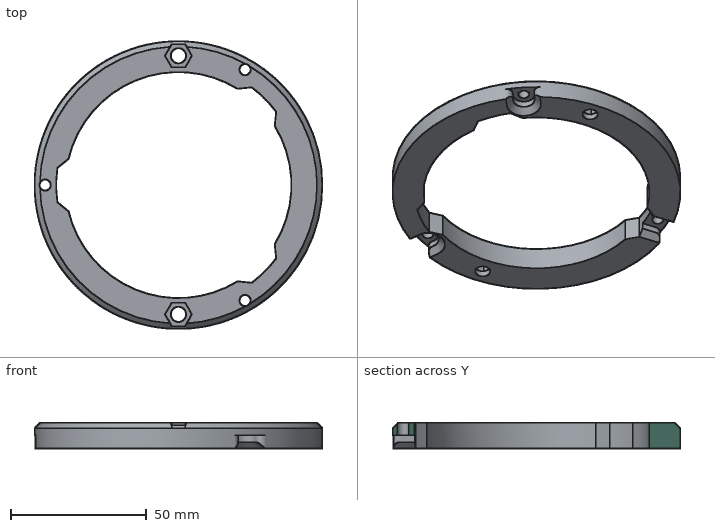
import cadquery as cq
import math

outer_radius = 53.0
height = 9.5
top_chamfer = 2.0
bore_radius = 41.5

notch_radius = 44.9
notch_angles = (45, 180, 315)
notch_floor_half_angle = 8.1
notch_mouth_half_angle = 13.4

nut_offset = 47.6
nut_across_flats = 8.6
nut_pocket_depth = 7.0
bolt_diameter = 5.5

screw_offset = 49.1
screw_diameter = 4.0
closed_slot_angles = (60, 300)
open_slot_angle = 180
slot_width = 8.0
slot_height = 4.9
slot_bevel = 2.3
bevel_overrun = 5.3


def polar(radius, angle):
    """Point on a circle about the ring axis, with the angle in degrees."""
    turn = math.radians(angle)
    return radius * math.cos(turn), radius * math.sin(turn)


def ring_body():
    disc = cq.Workplane("XY").circle(outer_radius).extrude(height)
    disc = disc.faces(">Z").edges().chamfer(top_chamfer)
    return disc.cut(cq.Workplane("XY").circle(bore_radius).extrude(height))


def bore_notch(angle):
    """Sector with slanted flanks and an arc floor, reaching out from the bore."""
    return (
        cq.Workplane("XY")
        .moveTo(0, 0)
        .lineTo(*polar(bore_radius, angle - notch_mouth_half_angle))
        .lineTo(*polar(notch_radius, angle - notch_floor_half_angle))
        .threePointArc(
            polar(notch_radius, angle),
            polar(notch_radius, angle + notch_floor_half_angle),
        )
        .lineTo(*polar(bore_radius, angle + notch_mouth_half_angle))
        .close()
        .extrude(height)
    )


def nut_pocket(y):
    across_corners = nut_across_flats / math.cos(math.radians(30))
    pocket = (
        cq.Workplane("XY", origin=(0, y, height - nut_pocket_depth))
        .polygon(6, across_corners)
        .extrude(nut_pocket_depth)
    )
    hole = cq.Workplane("XY").center(0, y).circle(bolt_diameter / 2).extrude(height)
    return pocket.union(hole)


def screw_slot(angle, inner_end):
    """Radial slot from a round end at inner_end out through the rim, with its screw hole.

    The lower edge is bevelled and the walls flare out in arcs where they meet the rim.
    """
    half_width = slot_width / 2
    mouth_half_width = half_width + slot_bevel
    flare_end = math.sqrt(outer_radius**2 - mouth_half_width**2)
    flare_start = flare_end - slot_bevel
    arc_inset = slot_bevel * math.sqrt(0.5)
    flare_middle = (flare_start + arc_inset, mouth_half_width - arc_inset)

    channel = (
        cq.Workplane("XY")
        .moveTo(inner_end, -half_width)
        .lineTo(flare_start, -half_width)
        .threePointArc((flare_middle[0], -flare_middle[1]), (flare_end, -mouth_half_width))
        .lineTo(outer_radius, -mouth_half_width)
        .lineTo(outer_radius, mouth_half_width)
        .lineTo(flare_end, mouth_half_width)
        .threePointArc(flare_middle, (flare_start, half_width))
        .lineTo(inner_end, half_width)
        .threePointArc((inner_end - half_width, 0), (inner_end, -half_width))
        .close()
        .extrude(slot_height)
    )

    bevel_length = outer_radius + bevel_overrun - inner_end
    bevel = (
        cq.Workplane("XY")
        .center(inner_end + bevel_length / 2, 0)
        .slot2D(bevel_length + 2 * mouth_half_width, 2 * mouth_half_width)
        .extrude(slot_bevel, taper=45)
    )

    hole = cq.Workplane("XY").center(screw_offset, 0).circle(screw_diameter / 2).extrude(height)
    return channel.union(bevel).union(hole).rotate((0, 0, 0), (0, 0, 1), angle)


result = ring_body()
for notch_angle in notch_angles:
    result = result.cut(bore_notch(notch_angle))
for side in (-1, 1):
    result = result.cut(nut_pocket(side * nut_offset))
for screw_angle in closed_slot_angles:
    result = result.cut(screw_slot(screw_angle, screw_offset))
result = result.cut(screw_slot(open_slot_angle, bore_radius))